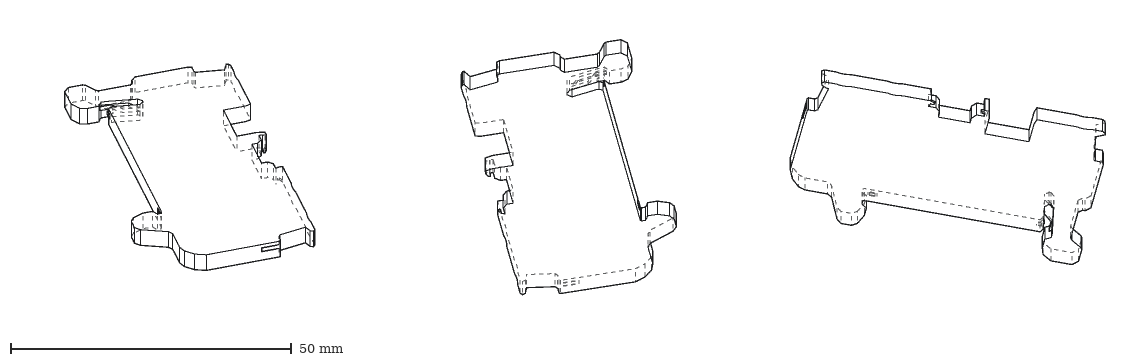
import cadquery as cq

LENGTH = 54.8
HEIGHT = 30.6
THICKNESS = 3.5
RAIL_FACE_Y = 6.0
SHOULDER_Y = 23.8
LEDGE_Y = 29.25
MARKER_FLOOR_Y = 27.3
BRIDGE_FLOOR_Y = 25.4

LEFT_SIDE_X = 0.5
LEFT_LEG_X = 2.5
RIGHT_SIDE_X = 54.7
WIDE_NOTCH_X = (14.6, 22.65)
MARKER_NOTCH_X = (25.75, 31.55)
POST_X = 23.8
RIGHT_BANK_X = 33.6

CLIP_BOTTOM_Z = 2.0
CLIP_THICKNESS = 0.8
FOOT_PROJECTION = 0.15
FOOT_ROOT_Y = 6.95

HOOK_THICKNESS = 0.45
HOOK_BOTTOM_Y = 29.85
HOOK_TOP_Y = 30.5

SCOOP_CENTRES_X = (5.65, 40.2, 49.6)
SCOOP_WIDTH = 2.75
SCOOP_DEPTH = 0.15

TOP_LEFT_BANK = [
    (2.3, HEIGHT),
    (14.3, HEIGHT),
    (WIDE_NOTCH_X[0], 29.55),
    (WIDE_NOTCH_X[0], BRIDGE_FLOOR_Y),
    (WIDE_NOTCH_X[1], BRIDGE_FLOOR_Y),
    (WIDE_NOTCH_X[1], 29.15),
]
POST_AND_MARKER_NOTCH = [
    (22.95, HEIGHT),
    (POST_X, HEIGHT),
    (POST_X, HOOK_BOTTOM_Y),
    (23.6, HOOK_BOTTOM_Y),
    (23.6, LEDGE_Y),
    (25.0, LEDGE_Y),
    (MARKER_NOTCH_X[0], 28.35),
    (MARKER_NOTCH_X[0], MARKER_FLOOR_Y),
    (MARKER_NOTCH_X[1], MARKER_FLOOR_Y),
    (MARKER_NOTCH_X[1], 28.45),
    (32.4, LEDGE_Y),
    (33.75, LEDGE_Y),
    (RIGHT_BANK_X, HOOK_BOTTOM_Y),
]
RIGHT_END = [
    (RIGHT_BANK_X, HEIGHT),
    (53.1, HEIGHT),
    (53.6, 30.2),
    (53.3, 29.65),
    (52.05, 29.15),
    (52.9, 24.15),
    (53.4, SHOULDER_Y),
    (54.5, SHOULDER_Y),
    (RIGHT_SIDE_X, 23.55),
    (RIGHT_SIDE_X, 9.85),
    (53.85, 7.95),
    (52.45, 6.45),
    (51.15, RAIL_FACE_Y),
]
RIGHT_FOOT = [
    (46.95, RAIL_FACE_Y),
    (46.15, 5.4),
    (44.1, 0.8),
    (43.2, 0),
    (41.25, 0),
    (40.35, 0.65),
    (39.5, 2.7),
    (39.5, 4.5),
    (40.05, 4.75),
    (40.5, 5.1),
    (40.5, 5.8),
    (40.3, RAIL_FACE_Y),
]
SPRING_SLOT = [
    (8.15, RAIL_FACE_Y),
    (7.8, 6.65),
    (7.8, 7.05),
    (8.6, 11.7),
    (7.95, 12.45),
    (7.6, 12.45),
    (6.95, 11.8),
    (6.0, 6.25),
    (5.9, 5.25),
]
LEFT_FOOT = [
    (6.3, 4.95),
    (6.95, 4.55),
    (6.95, 2.4),
    (6.5, 1.1),
    (4.8, 0),
    (1.0, 0),
    (0, 1.0),
    (0, 3.65),
    (0.3, 4.1),
    (2.2, 5.35),
    (LEFT_LEG_X, 5.8),
]
LEFT_END = [
    (LEFT_LEG_X, 11.8),
    (1.85, 12.4),
    (1.35, 12.4),
    (LEFT_SIDE_X, 13.25),
    (LEFT_SIDE_X, 23.2),
    (0.75, SHOULDER_Y),
    (2.05, SHOULDER_Y),
    (2.35, 23.95),
    (3.2, 29.1),
    (2.1, 29.7),
    (1.65, 29.9),
    (1.8, 30.25),
]

BUMP_ROOT_X = RIGHT_SIDE_X - 0.55
FOOT_TIP_Y = RAIL_FACE_Y - FOOT_PROJECTION
CLIP_STRIP = [(6.6, 10.1), (8.6, 11.7), (9.05, 11.7), (8.5, 9.1), (8.0, 8.65), (6.3, 7.0),
              (6.3, 4.95), (5.75, 4.95), (5.75, 7.0)]
CLIP_LEFT_FOOT = [(7.8, FOOT_ROOT_Y), (7.45, 6.6), (7.85, FOOT_TIP_Y), (8.75, FOOT_TIP_Y),
                  (9.15, RAIL_FACE_Y), (9.15, FOOT_ROOT_Y)]
CLIP_RIGHT_FOOT = [(37.9, RAIL_FACE_Y), (38.25, FOOT_TIP_Y), (39.25, FOOT_TIP_Y),
                   (39.55, RAIL_FACE_Y), (39.55, FOOT_ROOT_Y), (37.9, FOOT_ROOT_Y)]
LEFT_HOOK = [(23.55, HOOK_TOP_Y), (POST_X, HOOK_TOP_Y), (24.4, 30.25), (24.4, HOOK_BOTTOM_Y),
             (23.55, HOOK_BOTTOM_Y)]
RIGHT_HOOK = [(34.0, HOOK_TOP_Y), (RIGHT_BANK_X, HOOK_TOP_Y), (32.9, 30.25), (32.95, HOOK_BOTTOM_Y),
              (34.0, HOOK_BOTTOM_Y)]
SIDE_BUMP = [(BUMP_ROOT_X, 23.3), (RIGHT_SIDE_X, 23.3), (LENGTH, 22.75), (LENGTH, 20.15),
             (BUMP_ROOT_X, 20.15)]


def plate(points, bottom_z, thickness):
    """Flat piece with the given outline."""
    return cq.Workplane("XY").workplane(offset=bottom_z).polyline(points).close().extrude(thickness)


def scoop(centre_x):
    """Shallow round hollow across the top edge."""
    half_width = SCOOP_WIDTH / 2
    return (
        cq.Workplane("XY")
        .moveTo(centre_x - half_width, HEIGHT)
        .threePointArc((centre_x, HEIGHT - SCOOP_DEPTH), (centre_x + half_width, HEIGHT))
        .close()
        .extrude(THICKNESS)
    )


outline = (
    TOP_LEFT_BANK + POST_AND_MARKER_NOTCH + RIGHT_END + RIGHT_FOOT
    + SPRING_SLOT + LEFT_FOOT + LEFT_END
)
result = plate(outline, 0, THICKNESS)

for centre in SCOOP_CENTRES_X:
    result = result.cut(scoop(centre))

for piece in (CLIP_STRIP, CLIP_LEFT_FOOT, CLIP_RIGHT_FOOT, SIDE_BUMP):
    result = result.union(plate(piece, CLIP_BOTTOM_Z, CLIP_THICKNESS))

for hook in (LEFT_HOOK, RIGHT_HOOK):
    result = result.union(plate(hook, 0, HOOK_THICKNESS))